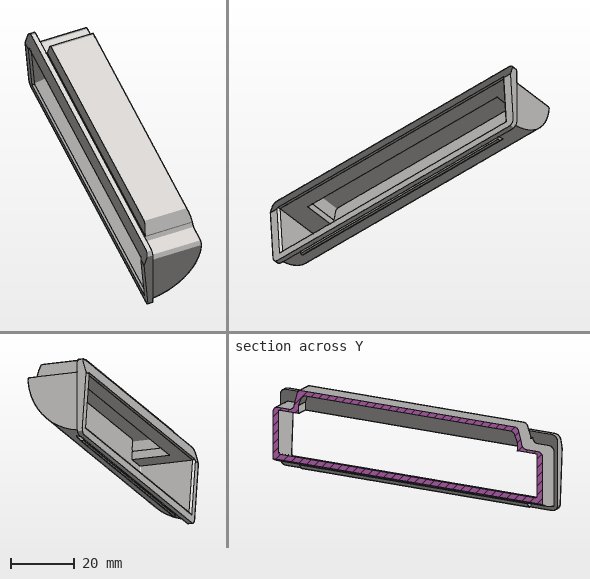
import cadquery as cq
import math

flange_length = 100.0
flange_height = 25.0
flange_edge = 1.6
ridge_depth = 3.0
ridge_height = 20.0
flange_corner = 2.0

shell_length = 97.4
shell_depth = 17.0
shell_bottom = 1.6
shoulder_height = 21.2
shoulder_round = 1.8
back_radius = 19.6
back_center_height = 21.0
back_center_y = shell_depth - back_radius
wall = 1.7

total_height = 28.0
step_height = 22.9
step_length = 82.2
step_fillet = step_height - shoulder_height
hump_top_length = 79.4
hump_round = 1.6
hump_front_low = 1.0
hump_front_high = 1.4

mouth_length = 93.0
mouth_bottom = back_center_height - (back_radius - wall)
mouth_top = 20.2
lip_bevel = 0.7
cavity_corner = 0.5

rib_length = step_length
rib_rear = 3.6
rib_tip_rear = 2.2
rib_front = 1.2
rib_bottom = 0.6
rib_rear_height = 2.2
rib_root = 2.6


def extrude_along_x(outline, length):
    """Extrude a closed YZ outline symmetrically about X = 0."""
    return outline.extrude(length / 2, both=True)


def block(length, y_start, y_end, z_start, z_end):
    size = (length, y_end - y_start, z_end - z_start)
    middle = (0, (y_start + y_end) / 2, (z_start + z_end) / 2)
    return cq.Workplane("XY").box(*size).translate(middle)


def back_cylinder(radius, length):
    """Cylinder along X whose surface forms the curved back."""
    circle = cq.Workplane("YZ").center(back_center_y, back_center_height).circle(radius)
    return extrude_along_x(circle, length)


def make_flange():
    outline = cq.Workplane("YZ").polyline([
        (0, 0),
        (-flange_edge, 0),
        (-ridge_depth, ridge_height),
        (-flange_edge, flange_height),
        (0, flange_height),
    ]).close()
    return extrude_along_x(outline, flange_length).edges("|Y and (<X or >X)").fillet(flange_corner)


def make_shell():
    """Wide lower shell with rounded shoulders and a filleted step up to the hump."""
    body = block(shell_length, 0, shell_depth, shell_bottom, shoulder_height)
    body = body.edges("|Y and >Z").fillet(shoulder_round)
    inner = step_length / 2
    outer = inner + step_fillet
    diagonal = step_fillet * math.sqrt(0.5)
    step = (
        cq.Workplane("XZ")
        .moveTo(-outer, shoulder_height)
        .threePointArc((-outer + diagonal, step_height - diagonal), (-inner, step_height))
        .lineTo(inner, step_height)
        .threePointArc((outer - diagonal, step_height - diagonal), (outer, shoulder_height))
        .lineTo(outer, shell_bottom)
        .lineTo(-outer, shell_bottom)
        .close()
        .extrude(-shell_depth)
    )
    return body.union(step)


def make_hump(inset=0.0):
    """Drafted hump, shrunk by inset on its ends, front and top."""
    profile = cq.Workplane("YZ").polyline([
        (hump_front_low + inset, shoulder_height - wall - inset),
        (hump_front_low + inset, step_height),
        (hump_front_high + inset, total_height - inset),
        (shell_depth, total_height - inset),
        (shell_depth, shoulder_height - wall - inset),
    ]).close()
    lower = step_length / 2 - inset
    upper = hump_top_length / 2 - inset
    ends = (
        cq.Workplane("XZ")
        .polyline([
            (-lower, mouth_bottom),
            (-lower, step_height),
            (-upper, total_height - inset),
            (upper, total_height - inset),
            (lower, step_height),
            (lower, mouth_bottom),
        ])
        .close()
        .extrude(-shell_depth)
        .edges("|Y and >Z")
        .fillet(hump_round)
    )
    return extrude_along_x(profile, step_length).intersect(ends)


def make_cavity():
    """Mouth and finger space that follow the curved back and open up into the hump."""
    pocket = block(mouth_length, -ridge_depth, shell_depth, mouth_bottom, mouth_top)
    hollow = pocket.union(make_hump(wall))
    rounded = hollow.intersect(back_cylinder(back_radius - wall, flange_length))
    return rounded.edges("%CIRCLE and (<X or >X)").fillet(cavity_corner)


def make_lip_bevel():
    """Flared cutter that bevels the mouth rim, square to the sloping front face."""
    slope = (ridge_depth - flange_edge) / ridge_height
    middle_height = (mouth_bottom + mouth_top) / 2
    front_face = cq.Plane(
        origin=(0, -flange_edge - slope * middle_height, middle_height),
        xDir=(1, 0, 0),
        normal=(0, 1, slope),
    )
    rim_length = mouth_length + 2 * lip_bevel
    rim_height = mouth_top - mouth_bottom + 2 * lip_bevel
    return cq.Workplane(front_face).rect(rim_length, rim_height).extrude(lip_bevel, taper=45)


def make_snap_rib():
    outline = cq.Workplane("YZ").polyline([
        (rib_front, rib_root),
        (rib_rear, rib_root),
        (rib_rear, rib_rear_height),
        (rib_tip_rear, rib_bottom),
        (rib_front, rib_bottom),
    ]).close()
    return extrude_along_x(outline, rib_length)


enclosure = make_shell().union(make_hump()).intersect(back_cylinder(back_radius, flange_length))
framed = make_flange().union(enclosure).cut(make_lip_bevel())

result = framed.cut(make_cavity()).union(make_snap_rib())